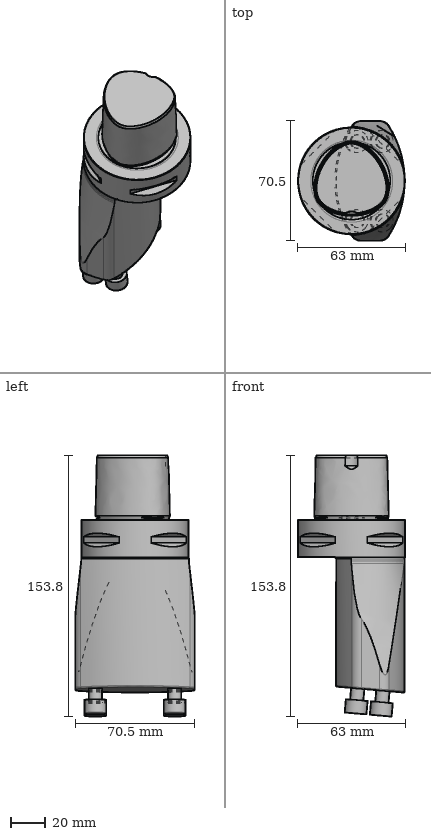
import cadquery as cq
import math


shank_height = 38.0
shank_gauge_diameter = 44.0
shank_gauge_height = 2.3
shank_lobe_height = 1.4
shank_taper_ratio = 1 / 20
shank_profile_points = 72
tip_chamfer_height = 1.6
tip_chamfer_inset = 0.7
neck_inset = 0.8

relief_base_radius = 22.8
relief_top_radius = 22.0
relief_height = 1.3
groove_outer_radius = 24.1
groove_depth = 0.3

notch_radius = 4.85
notch_width = 8.0
notch_surface_y = -19.9
notch_depth = 6.2

flange_diameter = 63.0
flange_thickness = 22.0
flange_edge_chamfer = 0.3

slot_count = 4
slot_first_angle = 45.0
slot_z = -11.9
slot_floor_width = 3.5
slot_floor_length = 29.2
slot_flank_angle = 32.0

body_left = -9.2
body_right = 31.35
body_width = 70.5
body_side_radius = 60.0
body_corner_radius = 6.5
body_foot_fillet = 0.8
body_end_fillet = 1.0

blend_radius = 31.75
blend_start_z = -24.9
blend_angle = 6.8
blend_round = 12.0

end_angle = 5.0
end_centre_z = -99.95
screw_spacing_along = 14.86
screw_spacing_across = 46.6
screw_stem_diameter = 8.0
screw_gap = 6.72
screw_head_diameter = 13.0
screw_head_height = 8.0
screw_head_fillet = 0.5

root_depth = 3.0
clearance = 1.0
body_reach = 110.0

flange_radius = flange_diameter / 2
body_centre_x = (body_left + body_right) / 2


def lobed_wire(mean_radius, z):
    """Closed three-lobed curve with one lobe pointing to +Y."""
    points = []
    for i in range(shank_profile_points):
        angle = 2 * math.pi * i / shank_profile_points
        lobe_phase = 3 * (angle - math.pi / 2)
        support = mean_radius + shank_lobe_height * math.cos(lobe_phase)
        slope = -3 * shank_lobe_height * math.sin(lobe_phase)
        x = support * math.cos(angle) - slope * math.sin(angle)
        y = support * math.sin(angle) + slope * math.cos(angle)
        points.append(cq.Vector(x, y, z))
    return cq.Wire.assembleEdges([cq.Edge.makeSpline(points, periodic=True)])


def lobed_section(lower_radius, lower_z, upper_radius, upper_z):
    """Straight loft between two lobed curves."""
    wires = [lobed_wire(lower_radius, lower_z), lobed_wire(upper_radius, upper_z)]
    return cq.Workplane(obj=cq.Solid.makeLoft(wires, True))


def revolved(profile):
    """Solid of revolution about Z from (radius, z) points."""
    return cq.Workplane("XZ").polyline(profile).close().revolve(360, (0, 0, 0), (0, 1, 0))


def make_shank():
    """Tapered lobed shank on an undercut neck, with a chamfered tip and a notch."""
    gauge_radius = shank_gauge_diameter / 2
    neck_radius = gauge_radius - neck_inset
    shoulder_z = shank_height - tip_chamfer_height
    shoulder_radius = gauge_radius - (shoulder_z - shank_gauge_height) * shank_taper_ratio / 2
    tip_radius = shoulder_radius - tip_chamfer_inset

    root = lobed_section(neck_radius, -root_depth, neck_radius, 0)
    neck = lobed_section(neck_radius, 0, gauge_radius, shank_gauge_height)
    relief = revolved([
        (0, -root_depth),
        (relief_base_radius, -root_depth),
        (relief_base_radius, 0),
        (relief_top_radius, relief_height),
        (gauge_radius + shank_lobe_height, shank_gauge_height),
        (0, shank_gauge_height),
    ])
    taper = lobed_section(gauge_radius, shank_gauge_height, shoulder_radius, shoulder_z)
    tip = lobed_section(shoulder_radius, shoulder_z, tip_radius, shank_height)
    shank = root.union(neck).intersect(relief).union(taper).union(tip)
    return shank.cut(make_notch())


def make_notch():
    """Upright round cutter with a 45 degree point, its axis just outside the shank."""
    half_width = notch_width / 2
    axis_y = notch_surface_y - math.sqrt(notch_radius**2 - half_width**2)
    floor_z = shank_height - notch_depth
    cutter = revolved([
        (0, floor_z - notch_radius),
        (notch_radius, floor_z),
        (notch_radius, shank_height + clearance),
        (0, shank_height + clearance),
    ])
    return cutter.translate((0, axis_y, 0))


def make_flange():
    """Round flange with a groove in its face and gripper slots in its rim."""
    flange = (
        cq.Workplane("XY")
        .circle(flange_radius)
        .extrude(-flange_thickness)
        .faces(">Z")
        .edges()
        .chamfer(flange_edge_chamfer)
    )
    groove = revolved([
        (relief_base_radius, 0),
        (groove_outer_radius, 0),
        (relief_base_radius, -groove_depth),
    ])
    flange = flange.cut(groove)
    for i in range(slot_count):
        angle = slot_first_angle + i * 360 / slot_count
        flange = flange.cut(make_slot().rotate((0, 0, 0), (0, 0, 1), angle))
    return flange


def make_slot():
    """V-sided slot facing +X, cut straight across the flange rim."""
    floor_x = math.sqrt(flange_radius**2 - (slot_floor_length / 2) ** 2)
    mouth_x = flange_radius + clearance
    floor_half = slot_floor_width / 2
    mouth_half = floor_half + (mouth_x - floor_x) * math.tan(math.radians(slot_flank_angle))
    return (
        cq.Workplane("XZ")
        .moveTo(floor_x, slot_z - floor_half)
        .lineTo(mouth_x, slot_z - mouth_half)
        .lineTo(mouth_x, slot_z + mouth_half)
        .lineTo(floor_x, slot_z + floor_half)
        .close()
        .extrude(flange_radius, both=True)
    )


def end_plane():
    """Plane of the sloping end face, with its normal pointing out of the body."""
    tilt = math.radians(end_angle)
    return cq.Plane(
        origin=(body_centre_x, 0, end_centre_z),
        xDir=(math.cos(tilt), 0, -math.sin(tilt)),
        normal=(-math.sin(tilt), 0, -math.cos(tilt)),
    )


def make_body():
    """Lens-shaped body below the flange, ended by the sloping face."""
    half_width = body_width / 2
    sag = body_side_radius - math.sqrt(body_side_radius**2 - half_width**2)
    corner_left = body_left + sag
    corner_right = body_right - sag
    body = (
        cq.Workplane("XY", origin=(0, 0, -flange_thickness))
        .moveTo(corner_left, -half_width)
        .lineTo(corner_right, -half_width)
        .threePointArc((body_right, 0), (corner_right, half_width))
        .lineTo(corner_left, half_width)
        .threePointArc((body_left, 0), (corner_left, -half_width))
        .close()
        .extrude(-body_reach)
        .edges("|Z")
        .fillet(body_corner_radius)
    )
    below_end = cq.Workplane(end_plane()).rect(2 * body_width, 2 * body_width).extrude(body_reach)
    body = body.cut(below_end)
    body = body.faces("<Z").edges().fillet(body_end_fillet)
    blend = make_blend()
    return body.intersect(blend).union(make_body_foot().intersect(blend))


def make_body_foot():
    """Concave fillet between the left body side and the underside of the flange."""
    inner_radius = body_side_radius - root_depth
    foot_radius = body_side_radius + body_foot_fillet
    foot_z = -flange_thickness - body_foot_fillet
    diagonal = body_foot_fillet * (1 - math.sqrt(0.5))
    ring = (
        cq.Workplane("XZ")
        .moveTo(inner_radius, -flange_thickness)
        .lineTo(foot_radius, -flange_thickness)
        .threePointArc(
            (body_side_radius + diagonal, -flange_thickness - diagonal),
            (body_side_radius, foot_z),
        )
        .lineTo(inner_radius, foot_z)
        .close()
        .revolve(360, (0, 0, 0), (0, 1, 0))
    )
    return ring.translate((body_left + body_side_radius, 0, 0))


def make_blend():
    """Flared cylinder under the flange that rounds over into a cone widening down the body."""
    slope = math.tan(math.radians(blend_angle))
    round_length = blend_round * math.tan(math.radians(blend_angle / 2))
    round_end_z = blend_start_z - round_length * math.cos(math.radians(blend_angle))
    round_end_radius = blend_radius + (blend_start_z - round_end_z) * slope
    return (
        cq.Workplane("XZ")
        .moveTo(0, -flange_thickness)
        .lineTo(flange_radius, -flange_thickness)
        .lineTo(blend_radius, -flange_thickness - body_foot_fillet)
        .lineTo(blend_radius, blend_start_z + round_length)
        .tangentArcPoint((round_end_radius, round_end_z), relative=False)
        .lineTo(blend_radius + body_reach * slope, blend_start_z - body_reach)
        .lineTo(0, blend_start_z - body_reach)
        .close()
        .revolve(360, (0, 0, 0), (0, 1, 0))
    )


def make_screws():
    """Four cap screws standing out of the end face."""
    plane = end_plane()
    positions = [
        (side * screw_spacing_along / 2, across * screw_spacing_across / 2)
        for side in (-1, 1)
        for across in (-1, 1)
    ]
    stems = (
        cq.Workplane(plane)
        .workplane(offset=-root_depth)
        .pushPoints(positions)
        .circle(screw_stem_diameter / 2)
        .extrude(root_depth + screw_gap)
    )
    heads = (
        cq.Workplane(plane)
        .workplane(offset=screw_gap)
        .pushPoints(positions)
        .circle(screw_head_diameter / 2)
        .extrude(screw_head_height)
        .faces(cq.selectors.DirectionMinMaxSelector(plane.zDir, True))
        .edges()
        .fillet(screw_head_fillet)
    )
    return stems.union(heads)


result = make_flange().union(make_shank()).union(make_body()).union(make_screws())